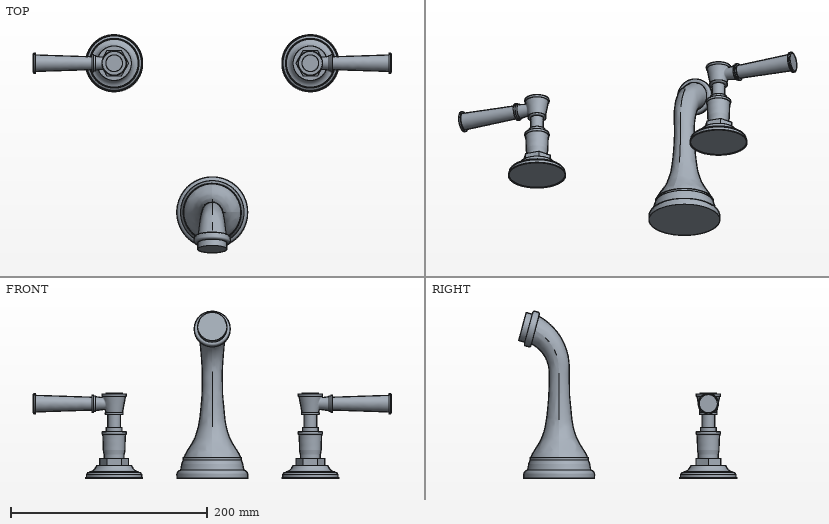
import cadquery as cq
import math

overall_width = 365.43
handle_offset_x = 100.0
handle_offset_y = 152.0

foot_radius = 36.2
foot_edge_height = 3.0
ovolo_middle_radius = 35.4
ovolo_middle_height = 6.5
ovolo_top_radius = 32.4
ovolo_top_height = 8.4
middle_step_bottom_radius = 31.8
middle_step_radius = 31.2
middle_step_bottom = 11.2
middle_step_height = 14.6
collar_radius = 29.7
collar_bottom = 19.0
neck_base_height = 21.2
bend_start_height = 110.2
bend_radius = 46.0
bend_angle = 65.0
outlet_angle = 75.0
straight_sections = [
    (neck_base_height, 29.0),
    (30.0, 24.3),
    (42.0, 17.6),
    (56.0, 13.7),
    (74.0, 11.5),
    (94.0, 10.3),
]
bend_start_radius = 10.4
bend_end_radius = 14.6
bend_steps = 6
bend_flare_power = 1.2
bead_radius = 18.4
bead_start = -2.2
bead_end = 4.9
bead_rounding = 2.0
outlet_radius = 14.9
outlet_end = 11.4

plate_radius = 29.2
plate_lip_height = 0.8
plate_rim_radius = 28.4
plate_rim_height = 4.2
plate_round_foot_radius = 27.9
plate_round_middle_radius = 27.2
plate_round_middle_height = 5.6
plate_round_top_radius = 25.4
plate_round_top_height = 6.2
plate_ledge_radius = 24.4
plate_ledge_height = 6.9
plate_cove_middle_radius = 21.6
plate_cove_middle_height = 8.0
plate_cove_top_radius = 19.5
plate_cove_top_height = 10.1
plate_top_radius = 17.6
plate_top_height = 13.4
nut_across_flats = 25.6
nut_top = 20.4
barrel_foot_radius = 10.3
barrel_foot_height = 24.3
barrel_waist_height = 28.6
barrel_band_height = 36.3
barrel_lower_radius = 11.1
barrel_band_radius = 11.3
barrel_upper_radius = 11.6
barrel_top = 43.2
barrel_lip_radius = 11.9
ring_bottom = 45.0
ring_top = 47.6
ring_radius = 12.5
gland_radius = 8.2
gland_top = 52.0
stem_radius = 6.6
knob_bottom = 65.0
knob_band_top = 67.2
knob_band_radius = 9.1
knob_cone_bottom_radius = 8.6
knob_cone_top_radius = 11.7
knob_cone_top = 83.6
knob_rim_radius = 12.5
knob_rim_top = 86.2
button_radius = 8.5
button_top = 87.0
band_rounding = 0.7

lever_height = 76.2
lever_reach = overall_width / 2 - handle_offset_x
lever_cap_bevel = 0.8
lever_flange_thickness = 1.6
lever_flange_outer = lever_reach - lever_cap_bevel
lever_flange_inner = lever_flange_outer - lever_flange_thickness
lever_cap_radius = 9.2
lever_flange_radius = 10.4
lever_grip_outer_radius = 8.6
lever_grip_inner_radius = 6.7
lever_ring_outer = 22.6
lever_ring_inner = 20.8
lever_ring_radius = 8.8
lever_collar_radius = 7.9
lever_neck_collar = 19.0
lever_neck_radius = 7.2
lever_neck_root = 7.0
lever_neck_root_radius = 5.6
lever_neck_fillet = 1.2


def make_rounded_disc(plane, radius, thickness, rounding):
    """Disc standing on the plane, with both rims rounded."""
    return cq.Workplane(plane).circle(radius).extrude(thickness).edges().fillet(rounding)


def make_spout_foot():
    """Stepped round foot with a rounded shoulder above its rim."""
    outline = (
        cq.Workplane("XZ")
        .lineTo(foot_radius, 0)
        .lineTo(foot_radius, foot_edge_height)
        .threePointArc((ovolo_middle_radius, ovolo_middle_height), (ovolo_top_radius, ovolo_top_height))
        .lineTo(middle_step_bottom_radius, middle_step_bottom)
        .lineTo(middle_step_radius, middle_step_height)
        .lineTo(collar_radius, collar_bottom)
        .lineTo(collar_radius, neck_base_height)
        .lineTo(0, neck_base_height)
        .close()
    )
    return outline.revolve(360, (0, 0), (0, 1))


def bend_plane(angle, facing_angle):
    """Plane centred where the bend has turned by an angle from vertical towards -Y.

    Its normal leans from vertical towards -Y by the facing angle.
    """
    turned = math.radians(angle)
    leaning = math.radians(facing_angle)
    centre = (
        0,
        -bend_radius * (1 - math.cos(turned)),
        bend_start_height + bend_radius * math.sin(turned),
    )
    facing = (0, -math.sin(leaning), math.cos(leaning))
    return cq.Plane(origin=centre, xDir=(1, 0, 0), normal=facing)


def make_spout_neck():
    """Flared neck lofted through round sections up the column and round the bend."""
    upright = cq.Vector(0, 0, 1)
    rings = [
        cq.Wire.makeCircle(radius, cq.Vector(0, 0, height), upright)
        for height, radius in straight_sections
    ]
    for step in range(bend_steps + 1):
        fraction = step / bend_steps
        angle = fraction * bend_angle
        plane = bend_plane(angle, angle)
        radius = bend_start_radius + (bend_end_radius - bend_start_radius) * fraction**bend_flare_power
        rings.append(cq.Wire.makeCircle(radius, plane.origin, plane.zDir))
    return cq.Workplane(cq.Solid.makeLoft(rings))


def make_spout_outlet():
    """Rounded bead and plain outlet at the end of the bend, leaning further down than it."""
    mouth = cq.Workplane(bend_plane(bend_angle, outlet_angle))
    bead = make_rounded_disc(
        mouth.workplane(offset=bead_start).plane, bead_radius, bead_end - bead_start, bead_rounding
    )
    outlet = mouth.circle(outlet_radius).extrude(outlet_end)
    return bead.union(outlet)


def make_spout():
    return make_spout_foot().union(make_spout_neck()).union(make_spout_outlet())


def make_handle_column():
    """Turned column: wall plate, barrel, stem and knob about one upright axis."""
    outline = (
        cq.Workplane("XZ")
        .lineTo(plate_radius, 0)
        .lineTo(plate_radius, plate_lip_height)
        .lineTo(plate_rim_radius, plate_lip_height)
        .lineTo(plate_rim_radius, plate_rim_height)
        .lineTo(plate_round_foot_radius, plate_rim_height)
        .threePointArc(
            (plate_round_middle_radius, plate_round_middle_height),
            (plate_round_top_radius, plate_round_top_height),
        )
        .lineTo(plate_ledge_radius, plate_ledge_height)
        .threePointArc(
            (plate_cove_middle_radius, plate_cove_middle_height),
            (plate_cove_top_radius, plate_cove_top_height),
        )
        .lineTo(plate_top_radius, plate_top_height)
        .lineTo(barrel_foot_radius, plate_top_height)
        .lineTo(barrel_foot_radius, barrel_foot_height)
        .lineTo(barrel_lower_radius, barrel_waist_height)
        .lineTo(barrel_band_radius, barrel_band_height)
        .lineTo(barrel_upper_radius, barrel_top)
        .lineTo(barrel_lip_radius, ring_bottom)
        .lineTo(gland_radius, ring_bottom)
        .lineTo(gland_radius, gland_top)
        .lineTo(stem_radius, gland_top)
        .lineTo(stem_radius, knob_band_top)
        .lineTo(knob_cone_bottom_radius, knob_band_top)
        .lineTo(knob_cone_top_radius, knob_cone_top)
        .lineTo(button_radius, knob_cone_top)
        .lineTo(button_radius, button_top)
        .lineTo(0, button_top)
        .close()
    )
    column = outline.revolve(360, (0, 0), (0, 1))
    for bottom, top, radius in (
        (ring_bottom, ring_top, ring_radius),
        (knob_bottom, knob_band_top, knob_band_radius),
        (knob_cone_top, knob_rim_top, knob_rim_radius),
    ):
        base_plane = cq.Plane(origin=(0, 0, bottom))
        column = column.union(make_rounded_disc(base_plane, radius, top - bottom, band_rounding))
    return column


def make_nut():
    """Hexagonal nut with two corners on the X axis."""
    across_corners = nut_across_flats / math.cos(math.radians(30))
    return (
        cq.Workplane("XY", origin=(0, 0, plate_top_height))
        .polygon(6, across_corners)
        .extrude(nut_top - plate_top_height)
    )


def make_lever():
    """Turned lever pointing along +X from the knob."""
    outline = (
        cq.Workplane("XZ", origin=(0, 0, lever_height))
        .moveTo(lever_neck_root, 0)
        .lineTo(lever_neck_root, lever_neck_root_radius)
        .lineTo(lever_neck_collar, lever_neck_radius)
        .lineTo(lever_neck_collar, lever_collar_radius)
        .lineTo(lever_ring_inner, lever_collar_radius)
        .lineTo(lever_ring_inner, lever_ring_radius)
        .lineTo(lever_ring_outer, lever_ring_radius)
        .lineTo(lever_ring_outer, lever_grip_inner_radius)
        .lineTo(lever_flange_inner, lever_grip_outer_radius)
        .lineTo(lever_flange_inner, lever_flange_radius)
        .lineTo(lever_flange_outer, lever_flange_radius)
        .lineTo(lever_reach, lever_cap_radius)
        .lineTo(lever_reach, 0)
        .close()
    )
    return outline.revolve(360, (0, 0), (1, 0))


def make_handle(side):
    """Handle on the given side (-1 left, +1 right), its lever pointing away from the spout."""
    handle = make_handle_column().union(make_lever())
    joint = cq.selectors.BoxSelector(
        (lever_neck_root, -lever_neck_radius, lever_height - lever_neck_radius),
        (lever_neck_collar - lever_neck_fillet, lever_neck_radius, lever_height + lever_neck_radius),
    )
    handle = handle.edges(joint).fillet(lever_neck_fillet).union(make_nut())
    if side < 0:
        handle = handle.rotate((0, 0, 0), (0, 0, 1), 180)
    return handle.translate((side * handle_offset_x, handle_offset_y, 0))


spout = make_spout()
handles = [make_handle(side) for side in (-1, 1)]

result = cq.Compound.makeCompound([spout.val(), *[handle.val() for handle in handles]])